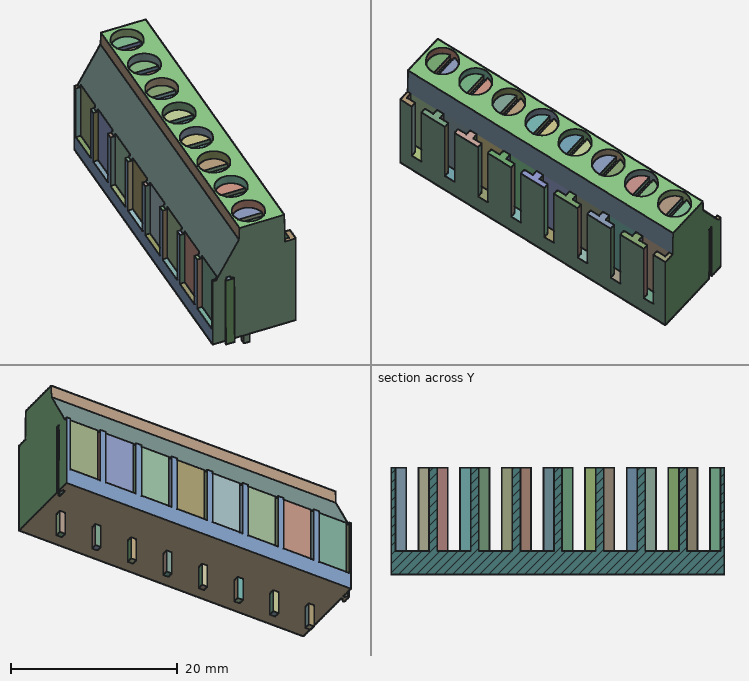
import cadquery as cq

POLES = 8
PITCH = 5.0
FIRST_POLE_X = 2.53
BODY_LENGTH = POLES * PITCH
BODY_DEPTH = 11.0
BODY_HEIGHT = 17.1
CUT_CLEARANCE = 1.0

FRONT_LEDGE_HEIGHT = 9.95
FRONT_LEDGE_DEPTH = 0.45
SLOPE_TOP_HEIGHT = 15.3
SLOPE_TOP_Y = 3.47
CROWN_FRONT_Y = 3.55
CROWN_BACK_Y = 9.47
BACK_LEDGE_HEIGHT = 12.85
BACK_LEDGE_Y = 9.56

SCREW_DIAMETER = 4.0
SCREW_Y = 5.85
SCREW_RECESS = 1.2
SLOT_WIDTH = 0.6
SLOT_DEPTH = 0.8

POCKET_WIDTH = 4.22
POCKET_START_X = 0.53
POCKET_BOTTOM = 2.3
POCKET_DEPTH = 0.65

TEE_MOUTH_WIDTH = 1.45
TEE_HEAD_WIDTH = 4.0
TEE_MOUTH_DEPTH = 0.7
TEE_RECESS_DEPTH = 10.0

PIN_WIDTH = 0.75
PIN_THICKNESS = 0.8
PIN_LENGTH = 3.2
PIN_Y = 5.48

DOVETAIL_Y = 2.05
DOVETAIL_NECK = 0.5
DOVETAIL_WIDTH = 1.15
DOVETAIL_REACH = 0.65
DOVETAIL_NECK_REACH = 0.18
DOVETAIL_FLARE_REACH = 0.42
DOVETAIL_TOP_REACH = 0.55


def box(x_range, y_range, z_range):
    """Axis-aligned box from its limits."""
    size = [high - low for low, high in (x_range, y_range, z_range)]
    corner = (x_range[0], y_range[0], z_range[0])
    return cq.Workplane("XY").box(*size, centered=False).translate(corner)


def make_body():
    """Side profile extruded along the row of poles."""
    profile = [
        (0, 0),
        (0, FRONT_LEDGE_HEIGHT),
        (FRONT_LEDGE_DEPTH, FRONT_LEDGE_HEIGHT),
        (SLOPE_TOP_Y, SLOPE_TOP_HEIGHT),
        (CROWN_FRONT_Y, BODY_HEIGHT),
        (CROWN_BACK_Y, BODY_HEIGHT),
        (BACK_LEDGE_Y, BACK_LEDGE_HEIGHT),
        (BODY_DEPTH, BACK_LEDGE_HEIGHT),
        (BODY_DEPTH, 0),
    ]
    return cq.Workplane("YZ").polyline(profile).close().extrude(BODY_LENGTH)


def dovetail(root_x):
    """Upright dovetail, narrow at root_x and widening toward +X, its end face leaning in with height."""
    near_side = [
        (root_x, DOVETAIL_Y - DOVETAIL_NECK / 2),
        (root_x + DOVETAIL_NECK_REACH, DOVETAIL_Y - DOVETAIL_NECK / 2),
        (root_x + DOVETAIL_FLARE_REACH, DOVETAIL_Y - DOVETAIL_WIDTH / 2),
        (root_x + DOVETAIL_REACH, DOVETAIL_Y - DOVETAIL_WIDTH / 2),
    ]
    far_side = [(x, 2 * DOVETAIL_Y - y) for x, y in reversed(near_side)]
    outline = near_side + far_side
    prism = cq.Workplane("XY").polyline(outline).close().extrude(FRONT_LEDGE_HEIGHT)
    end_profile = [
        (root_x, 0),
        (root_x + DOVETAIL_REACH, 0),
        (root_x + DOVETAIL_TOP_REACH, FRONT_LEDGE_HEIGHT),
        (root_x, FRONT_LEDGE_HEIGHT),
    ]
    envelope = cq.Workplane("XZ").polyline(end_profile).close().extrude(-BODY_DEPTH)
    return prism.intersect(envelope)


def screw_recess(x):
    """Round recess down to the screw head, with the driver slot in the head."""
    head_z = BODY_HEIGHT - SCREW_RECESS
    shaft = (
        cq.Workplane("XY")
        .workplane(offset=head_z)
        .center(x, SCREW_Y)
        .circle(SCREW_DIAMETER / 2)
        .extrude(SCREW_RECESS + CUT_CLEARANCE)
    )
    head = shaft.translate((0, 0, -SLOT_DEPTH))
    slot = box(
        (x - SLOT_WIDTH / 2, x + SLOT_WIDTH / 2),
        (SCREW_Y - SCREW_DIAMETER / 2, SCREW_Y + SCREW_DIAMETER / 2),
        (head_z - SLOT_DEPTH, head_z),
    )
    return shaft.union(slot.intersect(head))


def wire_pocket(start_x):
    """Shallow pocket in the front face, open upward through the slope."""
    return box(
        (start_x, start_x + POCKET_WIDTH),
        (-CUT_CLEARANCE, POCKET_DEPTH),
        (POCKET_BOTTOM, SLOPE_TOP_HEIGHT),
    )


def tee_recess(x):
    """T-shaped recess sunk into the back ledge and open at the back face."""
    mouth_y = BODY_DEPTH - TEE_MOUTH_DEPTH
    heights = (BACK_LEDGE_HEIGHT - TEE_RECESS_DEPTH, BACK_LEDGE_HEIGHT)
    head = box((x - TEE_HEAD_WIDTH / 2, x + TEE_HEAD_WIDTH / 2), (BACK_LEDGE_Y, mouth_y), heights)
    mouth = box(
        (x - TEE_MOUTH_WIDTH / 2, x + TEE_MOUTH_WIDTH / 2),
        (mouth_y, BODY_DEPTH + CUT_CLEARANCE),
        heights,
    )
    return head.union(mouth)


def pin(x):
    """Rectangular solder pin below the body."""
    return box(
        (x - PIN_WIDTH / 2, x + PIN_WIDTH / 2),
        (PIN_Y - PIN_THICKNESS / 2, PIN_Y + PIN_THICKNESS / 2),
        (-PIN_LENGTH, 0),
    )


result = make_body().cut(dovetail(0)).union(dovetail(BODY_LENGTH))

for pole in range(POLES):
    pole_start = pole * PITCH
    pole_center = pole_start + FIRST_POLE_X
    result = result.cut(screw_recess(pole_center))
    result = result.cut(wire_pocket(pole_start + POCKET_START_X))
    result = result.cut(tee_recess(pole_center))
    result = result.union(pin(pole_center))